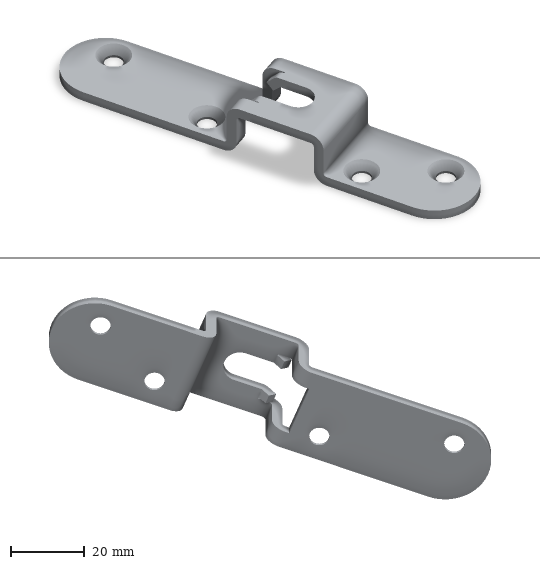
import cadquery as cq
import math

LENGTH = 127.0
WIDTH = 25.0
HEIGHT = 16.0
THICKNESS = 3.0
INNER_BEND = 1.0
OUTER_BEND = INNER_BEND + THICKNESS

BRIDGE_LENGTH = 30.0
BRIDGE_LEFT = -6.5
BRIDGE_RIGHT = BRIDGE_LEFT + BRIDGE_LENGTH

WINDOW_WIDTH = 15.0
WINDOW_LEFT = -8.5
WINDOW_RIGHT = 0.5
SLOT_WIDTH = 9.0
SLOT_END = 13.25

TAB_BEND_START = 0.2
TAB_BEND_RADIUS = 2.0
TAB_BEND_ANGLE = 45.0
TAB_STRAIGHT = 3.35
TAB_SIDE_GAP = 0.4

HOLE_DIAMETER = 5.5
SINK_DIAMETER = 10.0
SINK_ANGLE = 90.0
HOLE_OFFSET_Y = 5.5
OUTER_HOLE_X = 51.5
INNER_LEFT_HOLE_X = -16.5
INNER_RIGHT_HOLE_X = 31.5
HOLE_CENTRES = [
    (-OUTER_HOLE_X, HOLE_OFFSET_Y),
    (INNER_LEFT_HOLE_X, -HOLE_OFFSET_Y),
    (INNER_RIGHT_HOLE_X, -HOLE_OFFSET_Y),
    (OUTER_HOLE_X, HOLE_OFFSET_Y),
]


def box(x_min, x_max, y_size, z_min, z_max):
    """Box centred on Y = 0 between the given X and Z limits."""
    blank = cq.Workplane("XY").box(x_max - x_min, y_size, z_max - z_min, centered=(False, True, False))
    return blank.translate((x_min, 0, z_min))


def bridge_block(inset, z_min, z_max, top_radius):
    """Block under the bridge outline, inset from its outer walls, with rounded top edges."""
    block = box(BRIDGE_LEFT + inset, BRIDGE_RIGHT - inset, WIDTH, z_min, z_max)
    return block.edges("|Y and >Z").fillet(top_radius)


def bridge_mouth():
    """Selector for the lower edges at the mouth of the bridge."""
    return cq.selectors.BoxSelector(
        (BRIDGE_LEFT, -WIDTH, -THICKNESS),
        (BRIDGE_RIGHT, WIDTH, THICKNESS),
    )


def bent_strip():
    """Hat-shaped strip with square ends and constant thickness around its bends."""
    plate = box(-LENGTH / 2, LENGTH / 2, WIDTH, 0, THICKNESS)
    block = bridge_block(0, 0, HEIGHT, OUTER_BEND)
    solid = plate.union(block)
    foot_corners = cq.selectors.BoxSelector(
        (BRIDGE_LEFT - INNER_BEND, -WIDTH, THICKNESS - INNER_BEND),
        (BRIDGE_RIGHT + INNER_BEND, WIDTH, THICKNESS + INNER_BEND),
    )
    solid = solid.edges("|Y").edges(foot_corners).fillet(INNER_BEND)
    cavity = bridge_block(THICKNESS, 0, HEIGHT - THICKNESS, INNER_BEND)
    solid = solid.cut(cavity)
    return solid.edges("|Y and <Z").edges(bridge_mouth()).fillet(OUTER_BEND)


def round_ends(strip):
    """Trim both ends of the strip to full half-circles."""
    outline = cq.Workplane("XY").slot2D(LENGTH, WIDTH).extrude(HEIGHT)
    return strip.intersect(outline)


def window():
    """Rectangular opening through the left bridge wall and its two bends."""
    return box(WINDOW_LEFT, WINDOW_RIGHT, WINDOW_WIDTH, 0, HEIGHT)


def slot():
    """Slot through the bridge top, open to the window and round at its far end."""
    underside = HEIGHT - THICKNESS
    end_radius = SLOT_WIDTH / 2
    end_centre = SLOT_END - end_radius
    straight = box(WINDOW_LEFT, end_centre, SLOT_WIDTH, underside, HEIGHT)
    end = cq.Workplane("XY").workplane(offset=underside).center(end_centre, 0)
    return straight.union(end.circle(end_radius).extrude(THICKNESS))


def tab(side):
    """Tab bent down toward -X; side is +1 or -1 along Y."""
    angle = math.radians(TAB_BEND_ANGLE)
    centre_z = HEIGHT - TAB_BEND_RADIUS

    def on_bend(turn):
        """Point on the upper bend arc after the given turn."""
        x = TAB_BEND_START - TAB_BEND_RADIUS * math.sin(turn)
        return x, centre_z + TAB_BEND_RADIUS * math.cos(turn)

    bend_end = on_bend(angle)
    tip_x = bend_end[0] - TAB_STRAIGHT * math.cos(angle)
    tip_z = bend_end[1] - TAB_STRAIGHT * math.sin(angle)
    under_x = tip_x + THICKNESS * math.sin(angle)
    under_z = tip_z - THICKNESS * math.cos(angle)
    underside = HEIGHT - THICKNESS
    corner_x = under_x + (underside - under_z) / math.tan(angle)
    root_x = WINDOW_RIGHT + THICKNESS

    y_inner = SLOT_WIDTH / 2
    y_outer = WINDOW_WIDTH / 2 - TAB_SIDE_GAP
    profile = (
        cq.Workplane("XZ")
        .moveTo(root_x, HEIGHT)
        .lineTo(TAB_BEND_START, HEIGHT)
        .threePointArc(on_bend(angle / 2), bend_end)
        .lineTo(tip_x, tip_z)
        .lineTo(under_x, under_z)
        .lineTo(corner_x, underside)
        .lineTo(root_x, underside)
        .close()
    )
    y_middle = (y_inner + y_outer) / 2
    half_width = (y_outer - y_inner) / 2
    return profile.extrude(half_width, both=True).translate((0, side * y_middle, 0))


def drill_holes(body):
    """Countersunk holes from the upper face of the flat feet."""
    feet = cq.Workplane("XY").workplane(offset=THICKNESS)
    sink_depth = (SINK_DIAMETER - HOLE_DIAMETER) / 2 / math.tan(math.radians(SINK_ANGLE / 2))
    for x, y in HOLE_CENTRES:
        centre = feet.center(x, y)
        bore = centre.circle(HOLE_DIAMETER / 2).extrude(-THICKNESS)
        cone = cq.Solid.makeCone(
            SINK_DIAMETER / 2,
            HOLE_DIAMETER / 2,
            sink_depth,
            pnt=cq.Vector(x, y, THICKNESS),
            dir=cq.Vector(0, 0, -1),
        )
        body = body.cut(bore).cut(cq.Workplane(obj=cone))
    return body


body = round_ends(bent_strip())
body = body.cut(window()).cut(slot())
for side in (1, -1):
    body = body.union(tab(side))
result = drill_holes(body)